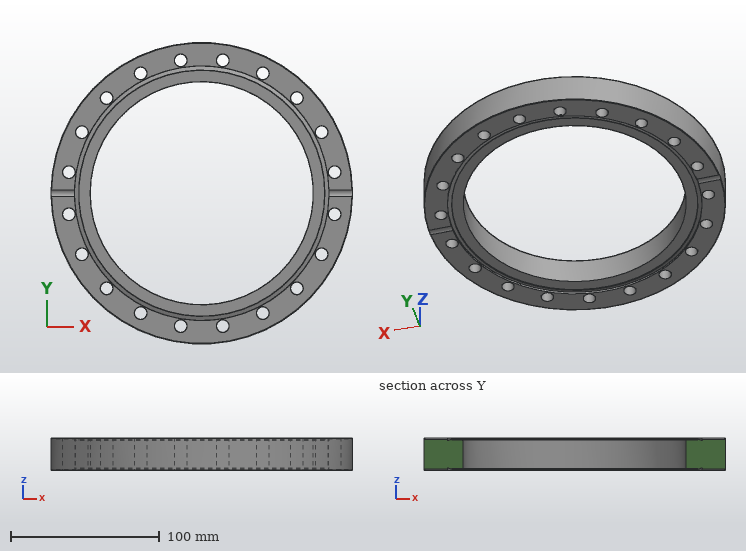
import cadquery as cq

outer_diameter = 203.0
bore_diameter = 150.0
thickness = 22.0
edge_chamfer = 0.5

recess_diameter = 171.3
recess_depth = 1.6
knife_diameter = 165.9
knife_tip_depth = 0.6
knife_land_depth = 1.2
knife_inner_run = 0.2

bolt_count = 20
bolt_circle_diameter = 181.0
bolt_hole_diameter = 8.3

groove_width = 4.5
groove_depth = 0.8

half_thickness = thickness / 2


def make_ring():
    """Plain ring centred on the origin, with both outer rims chamfered."""
    disc = cq.Workplane("XY").cylinder(thickness, outer_diameter / 2)
    disc = disc.edges("%CIRCLE").chamfer(edge_chamfer)
    return disc.faces(">Z").workplane().hole(bore_diameter)


def make_recess():
    """Material removed from the top face to leave the knife edge and its inner land."""
    land_z = half_thickness - knife_land_depth
    knife_radius = knife_diameter / 2
    recess_radius = recess_diameter / 2
    return (
        cq.Workplane("XZ")
        .moveTo(0, half_thickness)
        .lineTo(0, land_z)
        .lineTo(knife_radius - knife_inner_run, land_z)
        .lineTo(knife_radius, half_thickness - knife_tip_depth)
        .lineTo(recess_radius, half_thickness - recess_depth)
        .lineTo(recess_radius, half_thickness)
        .close()
        .revolve(360, (0, 0, 0), (0, 1, 0))
    )


def make_grooves():
    """Two opposite grooves in the top face, from the recess out through the rim."""
    groove_radius = ((groove_width / 2) ** 2 + groove_depth**2) / (2 * groove_depth)
    axis_z = half_thickness - groove_depth + groove_radius
    bar = (
        cq.Workplane("YZ")
        .center(0, axis_z)
        .circle(groove_radius)
        .extrude(outer_diameter, both=True)
    )
    core = cq.Workplane("XY").cylinder(2 * axis_z + 2 * groove_radius, recess_diameter / 2)
    return bar.cut(core)


def make_bolt_holes():
    """Through holes on the bolt circle, straddling the X axis."""
    first_angle = 360 / bolt_count / 2
    return (
        cq.Workplane("XY")
        .polarArray(bolt_circle_diameter / 2, first_angle, 360, bolt_count)
        .circle(bolt_hole_diameter / 2)
        .extrude(thickness)
        .translate((0, 0, -half_thickness))
    )


result = make_ring().cut(make_bolt_holes())
for face_cut in (make_recess(), make_grooves()):
    result = result.cut(face_cut).cut(face_cut.mirror("XY"))